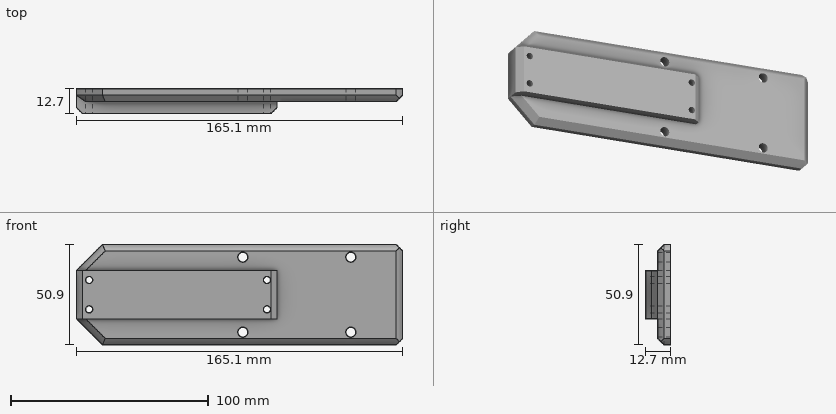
import cadquery as cq

length = 165.1
height = 50.9
total_thickness = 12.7
plate_thickness = 6.6
plate_bevel = 3.3

pad_length = 101.5
pad_height = 24.5
pad_end_chamfer = 3.1

left_corner_cut = (height - pad_height) / 2
right_corner_cut = plate_bevel

plate_hole_diameter = 5.0
plate_hole_columns = (84.2, 138.8)
plate_hole_offset = 19.0
pad_hole_diameter = 3.5
pad_hole_left_inset = 6.5
pad_hole_right_inset = 5.1
pad_hole_columns = (pad_hole_left_inset, pad_length - pad_hole_right_inset)
pad_hole_offset = 7.5


def make_plate():
    """Plate bevelled around its front face, with all four corners cut at 45 degrees."""
    top = height / 2
    left_top = top - left_corner_cut
    plate = (
        cq.Workplane("XZ")
        .moveTo(0, -left_top)
        .lineTo(left_corner_cut, -top)
        .lineTo(length, -top)
        .lineTo(length, top)
        .lineTo(left_corner_cut, top)
        .lineTo(0, left_top)
        .close()
        .extrude(plate_thickness)
        .faces("<Y")
        .chamfer(plate_bevel)
    )
    for side in (-1, 1):
        corner = (
            cq.Workplane("XZ")
            .moveTo(length, side * top)
            .lineTo(length - right_corner_cut, side * top)
            .lineTo(length, side * (top - right_corner_cut))
            .close()
            .extrude(plate_thickness)
        )
        plate = plate.cut(corner)
    return plate


def make_pad():
    """Full-depth block that also fills the plate's left bevel; its front end edges are chamfered."""
    return (
        cq.Workplane("XZ")
        .rect(pad_length, pad_height)
        .extrude(total_thickness)
        .faces("<Y")
        .edges("|Z")
        .chamfer(pad_end_chamfer)
        .translate((pad_length / 2, 0, 0))
    )


def make_holes(columns, offset, diameter):
    """Cylinders along Y, one above and one below the centre line in each column."""
    centres = [(x, side * offset) for x in columns for side in (-1, 1)]
    return cq.Workplane("XZ").pushPoints(centres).circle(diameter / 2).extrude(total_thickness)


result = (
    make_plate()
    .union(make_pad())
    .cut(make_holes(plate_hole_columns, plate_hole_offset, plate_hole_diameter))
    .cut(make_holes(pad_hole_columns, pad_hole_offset, pad_hole_diameter))
)